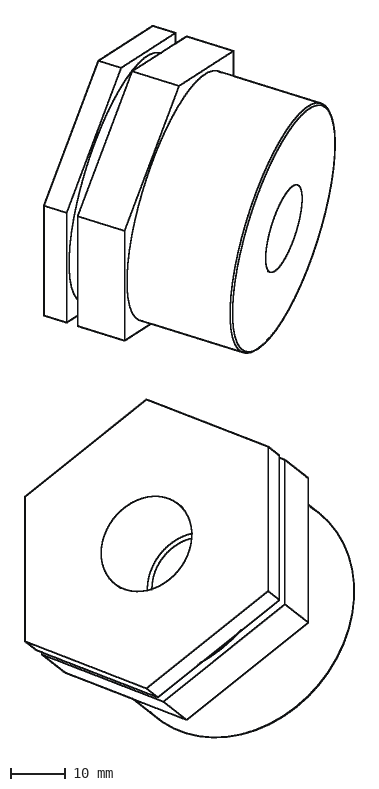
import cadquery as cq

total_length = 37.0
hex_across_corners = 57.75
body_diameter = 47.8
end_chamfer = 0.35

end_hex_thickness = 4.55
gap_width = 2.2
main_hex_thickness = 9.35

entry_diameter = 18.65
entry_depth = 18.5
bore_diameter = 16.75


def cylinder(start, length, diameter):
    """Solid cylinder along X."""
    return cq.Workplane("YZ", origin=(start, 0, 0)).circle(diameter / 2).extrude(length)


def hexagon(start, thickness):
    """Hexagonal plate with corners on the Z axis."""
    plate = cq.Workplane("YZ", origin=(start, 0, 0)).polygon(6, hex_across_corners).extrude(thickness)
    return plate.rotate((0, 0, 0), (1, 0, 0), 90)


body = cylinder(0, total_length, body_diameter).faces(">X").edges().chamfer(end_chamfer)

main_hex_start = end_hex_thickness + gap_width
body = body.union(hexagon(0, end_hex_thickness))
body = body.union(hexagon(main_hex_start, main_hex_thickness))

body = body.cut(cylinder(0, total_length, bore_diameter))
body = body.cut(cylinder(0, entry_depth, entry_diameter))

result = body.translate((-total_length / 2, 0, 0))